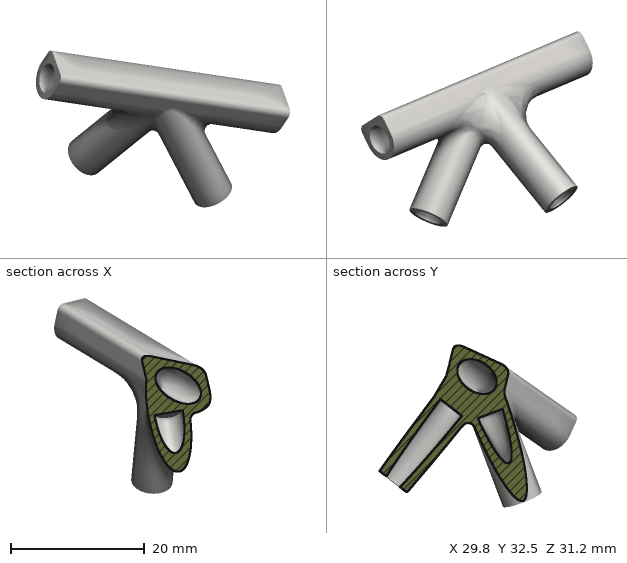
import cadquery as cq
import math

NODE = cq.Vector(0, 0, 0)

MAIN_AXIS = cq.Vector(0.595, 0.688, -0.4155).normalized()
PAD_NORMAL = cq.Vector(0.409, 0.185, 0.893)
MAIN_LENGTH = 40.0
MAIN_BORE = 4.4
WALL = 1.0
MAIN_RADIUS = MAIN_BORE / 2 + WALL
PAD_CORNER_RADIUS = 1.0
PAD_SIDE_START = 0.13
PAD_HALF_WIDTH = math.sqrt(MAIN_RADIUS**2 - PAD_SIDE_START**2)

FIRST_BRANCH_AXIS = cq.Vector(-0.614, -0.074, -0.786).normalized()
SECOND_BRANCH_AXIS = cq.Vector(0.348, 0.164, -0.923).normalized()
BRANCH_LENGTH = 20.0
BRANCH_BORE = 4.2
BRANCH_RADIUS = BRANCH_BORE / 2 + WALL
BRANCH_BORE_DEPTH = 14.0

FIRST_BLEND_RADIUS = 6.0
SECOND_BLEND_RADIUS = 1.0

TOLERANCE = 1e-3


def main_plane():
    """Plane at the start of the main tube, local Y pointing out of the flat pad."""
    start = NODE - MAIN_AXIS * (MAIN_LENGTH / 2)
    return cq.Plane(start, xDir=PAD_NORMAL.cross(MAIN_AXIS), normal=MAIN_AXIS)


def main_body():
    side = PAD_HALF_WIDTH
    top = MAIN_RADIUS
    corner = PAD_CORNER_RADIUS
    return (
        cq.Workplane(main_plane())
        .moveTo(-side, PAD_SIDE_START)
        .lineTo(-side, top - corner)
        .tangentArcPoint((corner, corner))
        .lineTo(side - corner, top)
        .tangentArcPoint((corner, -corner))
        .lineTo(side, PAD_SIDE_START)
        .threePointArc((0, -MAIN_RADIUS), (-side, PAD_SIDE_START))
        .close()
        .extrude(MAIN_LENGTH)
    )


def main_bore():
    return cq.Workplane(main_plane()).circle(MAIN_BORE / 2).extrude(MAIN_LENGTH)


def branch_rod(axis):
    return cq.Workplane(cq.Plane(NODE, normal=axis)).circle(BRANCH_RADIUS).extrude(BRANCH_LENGTH)


def branch_bore(axis):
    bottom = NODE + axis * (BRANCH_LENGTH - BRANCH_BORE_DEPTH)
    return cq.Workplane(cq.Plane(bottom, normal=axis)).circle(BRANCH_BORE / 2).extrude(BRANCH_BORE_DEPTH)


def on_branch_surface(point, axis):
    """True if the point lies on the branch cylinder, away from its open end."""
    offset = point - NODE
    along = offset.dot(axis)
    radial = (offset - axis * along).Length
    return abs(radial - BRANCH_RADIUS) < TOLERANCE and along < BRANCH_LENGTH - TOLERANCE


def root_edges(body, axis):
    """Edges where the branch cylinder meets the rest of the body."""
    samples = (0, 0.25, 0.5, 0.75, 1)
    return [
        edge
        for edge in body.edges().vals()
        if edge.geomType() != "LINE"
        and all(on_branch_surface(edge.positionAt(sample), axis) for sample in samples)
    ]


def add_branch(body, axis, blend_radius):
    joined = body.union(branch_rod(axis))
    return joined.newObject(root_edges(joined, axis)).fillet(blend_radius)


result = main_body()
result = add_branch(result, FIRST_BRANCH_AXIS, FIRST_BLEND_RADIUS)
result = add_branch(result, SECOND_BRANCH_AXIS, SECOND_BLEND_RADIUS)
result = result.cut(main_bore())
for branch_axis in (FIRST_BRANCH_AXIS, SECOND_BRANCH_AXIS):
    result = result.cut(branch_bore(branch_axis))